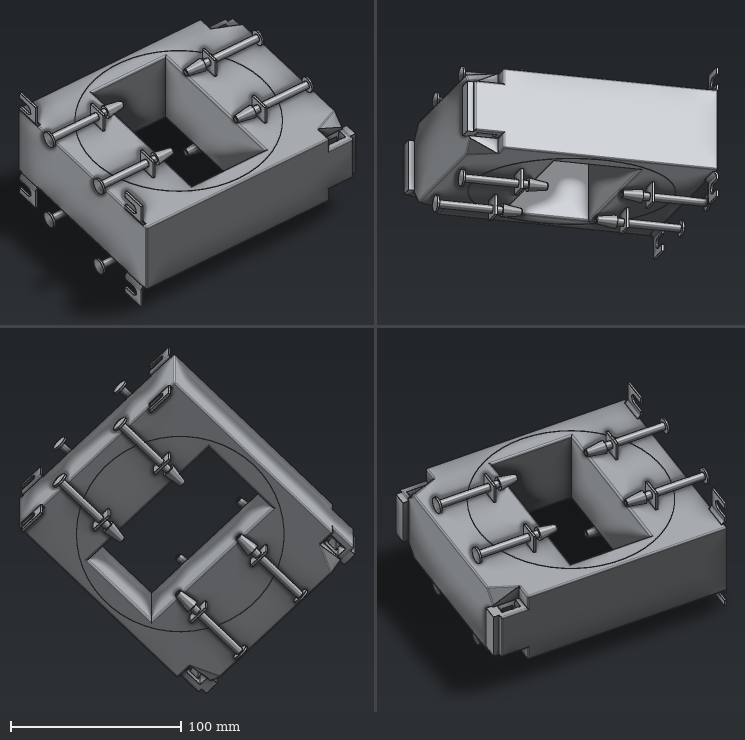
import cadquery as cq
import math

body_width = 129.0
body_depth = 150.0
body_height = 49.5
edge_radius = 1.0
half_width = body_width / 2
top_z = body_height / 2

centre_y = 69.9
window_width = 99.7
window_depth = 53.0
window_edge_radius = 1.3
recess_radius = 61.0
recess_depth = 0.2

notch_width = 10.8
notch_depth = 17.5
notch_drop = 9.4
facet_run = 7.9
facet_drop = 8.0
notch_x = half_width - notch_width
notch_y = body_depth - notch_depth
step_z = top_z - notch_drop

pocket_width = 6.5
pocket_depth = 12.0
pocket_drop = 6.3
pocket_taper = 25.0
shaft_width = 4.2
shaft_depth = 6.8
pocket_inset_x = 7.5
pocket_inset_y = 8.7
pocket_x = half_width - pocket_inset_x
pocket_y = body_depth - pocket_inset_y

tab_width = 9.0
tab_reach = 3.9

sheet = 1.5
bracket_width = 16.1
bracket_top_z = 40.0
bracket_x = 53.0
bend_rise = 2.1
bend_outer_radius = 2.5
bend_inner_radius = bend_outer_radius - sheet
slot_width = 6.5
slot_length = 11.3
slot_z = 32.6

lug_width = 12.6
lug_top_z = 37.1
lug_offset = 40.5

screw_x = 25.0
screw_z = 32.0
shank_radius = 2.5
head_radius = 5.0
head_rim = 1.3
dome_height = 1.3
cone_radius = 4.0
cone_offset = 35.2
tip_radius = 2.3
tip_chamfer = 0.5
tip_offset = 22.9
head_offset = 74.9

SIDES = (-1, 1)
TOLERANCE = 0.002


def cut_back_corners(block, cutter):
    """Cut the same shape from all four back corners, given the one at upper right."""
    for shape in (cutter, cutter.mirror("YZ")):
        block = block.cut(shape).cut(shape.mirror("XY"))
    return block


def facet_cutter():
    """Notch with a sloping inner side; its top edge runs diagonally, from the front wall to the back."""
    slope_run = notch_drop * facet_run / facet_drop

    def section(y, top_x):
        outline = [
            cq.Vector(top_x, y, top_z),
            cq.Vector(half_width, y, top_z),
            cq.Vector(half_width, y, step_z),
            cq.Vector(top_x + slope_run, y, step_z),
        ]
        return cq.Wire.makePolygon(outline, close=True)

    ends = [section(notch_y, notch_x), section(body_depth, notch_x - facet_run)]
    return cq.Workplane(obj=cq.Solid.makeLoft(ends, ruled=True))


def notch_cutter():
    """Box that squares the notch off to an upright inner wall under the facet."""
    box = cq.Workplane("XY").box(notch_width, notch_depth, notch_drop, centered=False)
    return box.translate((notch_x, notch_y, step_z))


def pocket_cutter():
    """Funnel that narrows downwards from the notch floor, with a shaft to mid height."""
    funnel = cq.Workplane("XY").rect(pocket_width, pocket_depth).extrude(-pocket_drop, taper=pocket_taper)
    shaft = cq.Workplane("XY").rect(shaft_width, shaft_depth).extrude(-step_z)
    return funnel.union(shaft).translate((pocket_x, pocket_y, step_z))


def is_rounded(edge):
    """True for all edges but the inner corners of the notches and the back rims of their floors."""
    middle = edge.Center()
    on_notch_floor = abs(abs(middle.z) - step_z) < TOLERANCE
    on_notch_front = abs(middle.y - notch_y) < TOLERANCE
    on_side = abs(abs(middle.x) - half_width) < TOLERANCE
    on_top = abs(abs(middle.z) - top_z) < TOLERANCE
    return on_side or on_top or not (on_notch_floor or on_notch_front)


def rounded_block():
    block = cq.Workplane("XY").box(body_width, body_depth, body_height, centered=(True, False, True))
    block = cut_back_corners(block, facet_cutter())
    outer_edges = [edge for edge in block.edges().vals() if is_rounded(edge)]
    block = block.newObject(outer_edges).fillet(edge_radius)
    return cut_back_corners(block, notch_cutter())


def cut_window(block):
    """Round recess in both faces and the rounded-edge window that passes through."""
    for side in SIDES:
        recess = cq.Workplane("XY").circle(recess_radius).extrude(side * recess_depth)
        block = block.cut(recess.translate((0, centre_y, side * (top_z - recess_depth))))
    window = cq.Workplane("XY").rect(window_width, window_depth).extrude(body_height, both=True)
    block = block.cut(window.translate((0, centre_y, 0)))
    half_x = window_width / 2 + TOLERANCE
    half_y = window_depth / 2 + TOLERANCE
    rim = cq.selectors.BoxSelector((-half_x, centre_y - half_y, -top_z), (half_x, centre_y + half_y, top_z))
    return block.edges("#Z").edges(rim).fillet(window_edge_radius)


def back_tab(side):
    tab = cq.Workplane("XY").box(tab_width, tab_reach + edge_radius, 2 * step_z, centered=(True, False, True))
    return tab.translate((side * pocket_x, body_depth - edge_radius, 0))


def bracket(x):
    """Upper bracket: an upright sheet bent back to the front edge, with a slot open to the left."""
    bend_z = top_z + bend_rise
    profile = [
        (-sheet, bracket_top_z),
        (0, bracket_top_z),
        (0, bend_z),
        (bend_rise, top_z),
        (edge_radius, top_z - edge_radius),
        (0, top_z - edge_radius),
        (0, top_z),
        (-sheet, top_z + sheet),
    ]
    strip = cq.Workplane("YZ").polyline(profile).close().extrude(bracket_width / 2, both=True)
    outer_bend = cq.selectors.NearestToPointSelector((0, -sheet, top_z + sheet))
    strip = strip.edges(outer_bend).fillet(bend_outer_radius)
    inner_bend = cq.selectors.NearestToPointSelector((0, 0, bend_z))
    strip = strip.edges(inner_bend).fillet(bend_inner_radius)
    straight = slot_length - slot_width / 2
    left = -bracket_width / 2
    slot = (
        cq.Workplane("XZ")
        .moveTo(left, slot_z + slot_width / 2)
        .hLine(straight)
        .threePointArc((left + slot_length, slot_z), (left + straight, slot_z - slot_width / 2))
        .hLine(-straight)
        .close()
        .extrude(2 * sheet, both=True)
    )
    return strip.cut(slot).translate((x, 0, 0))


def lug(x, side):
    """Upper rectangular lug with a hole for one clamping screw."""
    base_z = top_z - edge_radius
    height = lug_top_z - base_z
    plate = cq.Workplane("XY").box(lug_width, sheet, height, centered=(True, True, False))
    plate = plate.translate((0, 0, base_z))
    hole = cq.Workplane("XZ").center(0, screw_z).circle(shank_radius).extrude(sheet, both=True)
    return plate.cut(hole).translate((x, centre_y + side * lug_offset, 0))


def make_housing():
    housing = cut_back_corners(cut_window(rounded_block()), pocket_cutter())
    for side in SIDES:
        housing = housing.union(back_tab(side))
        upper_parts = [bracket(side * bracket_x)]
        upper_parts += [lug(side * screw_x, end) for end in SIDES]
        for part in upper_parts:
            housing = housing.union(part).union(part.mirror("XY"))
    return housing.clean()


def make_screw(x, side, z):
    """Screw along Y: domed head at the far end, plain shank and a cone that points to the window."""
    rim_offset = head_offset + head_rim
    sphere_radius = (head_radius**2 + dome_height**2) / (2 * dome_height)
    half_angle = math.asin(head_radius / sphere_radius) / 2
    mid_radius = sphere_radius * math.sin(half_angle)
    mid_offset = rim_offset + dome_height - sphere_radius * (1 - math.cos(half_angle))
    half_outline = (
        cq.Workplane("YZ")
        .moveTo(tip_offset, 0)
        .lineTo(tip_offset, tip_radius - tip_chamfer)
        .lineTo(tip_offset + tip_chamfer, tip_radius)
        .lineTo(cone_offset, cone_radius)
        .lineTo(cone_offset, shank_radius)
        .lineTo(head_offset, shank_radius)
        .lineTo(head_offset, head_radius)
        .lineTo(rim_offset, head_radius)
        .threePointArc((mid_offset, mid_radius), (rim_offset + dome_height, 0))
        .close()
    )
    screw = half_outline.revolve(360, (0, 0, 0), (1, 0, 0))
    if side < 0:
        screw = screw.mirror("XZ")
    return screw.translate((x, centre_y, z))


housing = make_housing()
screws = [
    make_screw(side_x * screw_x, end, side_z * screw_z)
    for side_x in SIDES
    for end in SIDES
    for side_z in SIDES
]

result = cq.Compound.makeCompound([housing.val(), *[screw.val() for screw in screws]])